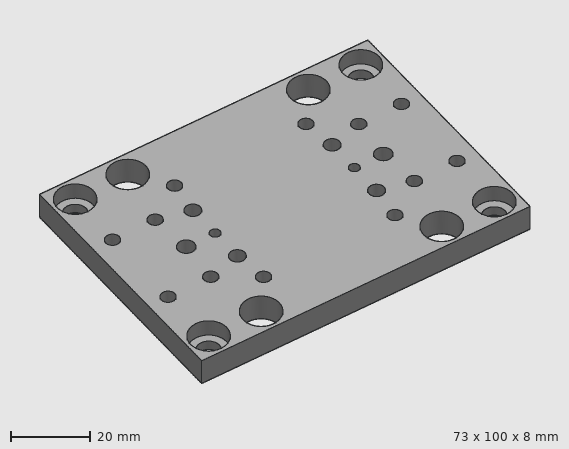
import cadquery as cq

width = 73.0
length = 100.0
thickness = 8.0

side_hole_x = 30.0
mount_y = 43.5
mount_diameter = 6.6
counterbore_diameter = 11.0
counterbore_depth = 5.0

clearance_y = 27.5
clearance_diameter = 11.0

small_diameter = 4.1
small_pair_x = 12.5
small_outer_y = 44.0
small_inner_y = 31.0
small_wide_x = 20.0
small_wide_y = 20.0

row_y = 21.2
row_side_x = 10.0
row_side_diameter = 4.5
pilot_diameter = 3.0

centre_y = 30.0
centre_diameter = 4.9


def mirrored(x, y):
    """Return the point repeated about both centre lines, without duplicates."""
    x_places = [x, -x] if x else [x]
    return [(px, py) for px in x_places for py in (y, -y)]


def drill(body, x, y, diameter):
    """Drill mirrored through holes from the top face."""
    return body.faces(">Z").workplane(origin=(0, 0, 0)).pushPoints(mirrored(x, y)).hole(diameter)


result = cq.Workplane("XY").box(width, length, thickness)

result = (
    result.faces(">Z")
    .workplane(origin=(0, 0, 0))
    .pushPoints(mirrored(side_hole_x, mount_y))
    .cboreHole(mount_diameter, counterbore_diameter, counterbore_depth)
)

through_holes = [
    (side_hole_x, clearance_y, clearance_diameter),
    (small_pair_x, small_outer_y, small_diameter),
    (small_pair_x, small_inner_y, small_diameter),
    (small_wide_x, small_wide_y, small_diameter),
    (row_side_x, row_y, row_side_diameter),
    (0, row_y, pilot_diameter),
    (0, centre_y, centre_diameter),
]
for hole_x, hole_y, hole_diameter in through_holes:
    result = drill(result, hole_x, hole_y, hole_diameter)